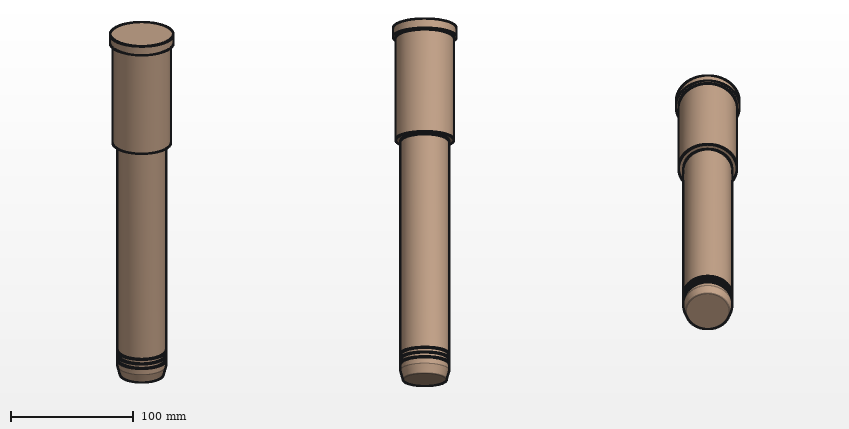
import cadquery as cq
import math

total_length = 300.0
head_thickness = 8.0
collar_bottom_z = 204.0

head_diameter = 52.0
collar_diameter = 48.0
shaft_diameter = 40.0

nose_height = 8.0
nose_half_angle = 15.0
tip_fillet = 0.5

edge_chamfer = 0.5

undercut_width = 1.0
undercut_depth = 0.5

round_groove_radius = 0.5
round_groove_count = 3
round_groove_pitch = 4.0
lowest_round_groove_z = 13.5


def cylinder(diameter, bottom_z, top_z):
    """Solid cylinder on the Z axis between two heights."""
    return cq.Workplane("XY").workplane(offset=bottom_z).circle(diameter / 2).extrude(top_z - bottom_z)


def undercut_ring(diameter, bottom_z):
    """Square-section ring that cuts an undercut into a round of the given diameter."""
    top_z = bottom_z + undercut_width
    outer = cylinder(diameter, bottom_z, top_z)
    return outer.cut(cylinder(diameter - 2 * undercut_depth, bottom_z, top_z))


def round_groove(center_z):
    """Torus that cuts a half-round groove into the shaft."""
    center = cq.Vector(0, 0, center_z)
    return cq.Workplane("XY").add(cq.Solid.makeTorus(shaft_diameter / 2, round_groove_radius, center))


def make_nose():
    """Tapered lead-in with a rounded tip, narrowing downwards from the shaft."""
    tip_radius = shaft_diameter / 2 - nose_height * math.tan(math.radians(nose_half_angle))
    nose = cq.Workplane("XY").add(cq.Solid.makeCone(tip_radius, shaft_diameter / 2, nose_height))
    return nose.faces("<Z").edges().fillet(tip_fillet)


def make_pin():
    """Head, collar, shaft and nose joined on one axis, with the undercuts and grooves cut."""
    head_bottom_z = total_length - head_thickness
    head = cylinder(head_diameter, head_bottom_z, total_length)
    head = head.faces(">Z").chamfer(edge_chamfer)
    collar = cylinder(collar_diameter, collar_bottom_z, head_bottom_z)
    collar = collar.faces("<Z").chamfer(edge_chamfer)
    shaft = cylinder(shaft_diameter, nose_height, collar_bottom_z)
    pin = make_nose().union(shaft).union(collar).union(head)

    pin = pin.cut(undercut_ring(collar_diameter, head_bottom_z - undercut_width))
    pin = pin.cut(undercut_ring(shaft_diameter, collar_bottom_z - undercut_width))
    for index in range(round_groove_count):
        center_z = lowest_round_groove_z + index * round_groove_pitch
        pin = pin.cut(round_groove(center_z))
    return pin


result = make_pin()